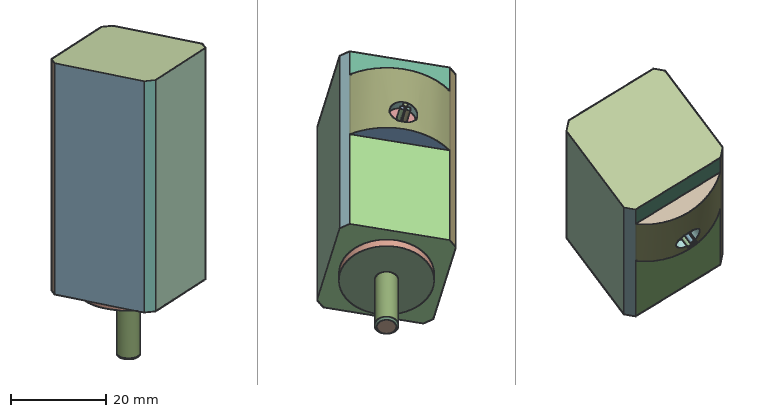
import cadquery as cq

total_length = 68.0
case_side = 25.0
case_corner_chamfer = 1.8

pilot_diameter = 20.0
pilot_height = 2.0
shaft_diameter = 5.0
shaft_length = 14.0
shaft_tip_chamfer = 0.5

cover_rise = 4.0
cover_length = 18.0
cover_top_gap = 7.0

socket_diameter = 6.0
socket_depth = 2.0
connector_top_gap = 19.9
pin_diameter = 1.0
pin_protrusion = 1.5
pin_count = 3
pin_circle_radius = 0.75

case_bottom = shaft_length + pilot_height
case_length = total_length - case_bottom
case_face = case_side / 2
cover_half_width = case_face - case_corner_chamfer
cover_crest = case_face + cover_rise
cover_bottom = total_length - cover_top_gap - cover_length
connector_height = total_length - connector_top_gap
socket_floor = cover_crest - socket_depth


def make_case():
    block = cq.Workplane("XY").workplane(offset=case_bottom).rect(case_side, case_side).extrude(case_length)
    return block.edges("|Z").chamfer(case_corner_chamfer)


def make_shaft_end():
    shaft = cq.Workplane("XY").circle(shaft_diameter / 2).extrude(case_bottom)
    shaft = shaft.faces("<Z").chamfer(shaft_tip_chamfer)
    pilot = cq.Workplane("XY").workplane(offset=shaft_length).circle(pilot_diameter / 2).extrude(pilot_height)
    return shaft.union(pilot)


def make_cover():
    return (
        cq.Workplane("XY")
        .workplane(offset=cover_bottom)
        .moveTo(-cover_half_width, 0)
        .lineTo(-cover_half_width, case_face)
        .threePointArc((0, cover_crest), (cover_half_width, case_face))
        .lineTo(cover_half_width, 0)
        .close()
        .extrude(cover_length)
    )


def connector_plane():
    plane = cq.Plane(origin=(0, socket_floor, connector_height), xDir=(-1, 0, 0), normal=(0, 1, 0))
    return cq.Workplane(plane)


def make_socket():
    return connector_plane().circle(socket_diameter / 2).extrude(socket_depth)


def make_pins():
    return (
        connector_plane()
        .polarArray(pin_circle_radius, 90, 360, pin_count)
        .circle(pin_diameter / 2)
        .extrude(socket_depth + pin_protrusion)
    )


result = make_case().union(make_shaft_end()).union(make_cover()).cut(make_socket()).union(make_pins())